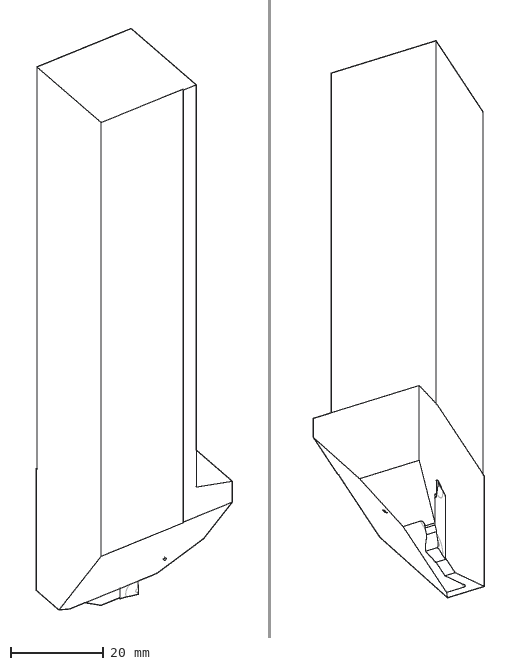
import cadquery as cq


tip_to_top = 151.4
shank_offset = 0.3
shank_depth = 24.8
front_right = 25.0
back_right = 25.3
relief_depth = 21.5

head_depth = 34.4
head_top = 42.8
head_back_top = 40.4
head_back_bottom = 18.2
head_lip_bottom = 6.7
head_front_bottom = 10.0
head_bottom = 0.9
head_toe_depth = 15.5
taper_top = 34.8
taper_bottom_x = 7.3
blade_top = 7.7
blade_thickness = 2.4
blade_root_radius = 0.8

insert_bottom = 20.5
edge_depth = 25.1
rib_depth = 26.0
insert_length = 20.1
end_relief = 0.6
rib_start = 6.0
ramp_start = 4.8
gap_shift = 0.9
flare_radius = 2.9
flare_inset_y = 0.3
flare_inset_z = 1.2
flare_crest_radius = 0.5
flare_height = 0.3


def prism_along_x(outline_yz, x_start, x_end):
    """Extrude a YZ outline between two X positions."""
    return cq.Workplane("YZ", origin=(x_start, 0, 0)).polyline(outline_yz).close().extrude(x_end - x_start)


def insert_outline(ramp_shift=0.0):
    """Side outline of the insert; ramp_shift moves the inner rib ramp toward the upper end."""
    return [
        (insert_bottom, end_relief),
        (edge_depth, 0),
        (edge_depth, ramp_start),
        (rib_depth, rib_start),
        (rib_depth, insert_length - rib_start + ramp_shift),
        (edge_depth, insert_length - ramp_start + ramp_shift),
        (edge_depth, insert_length),
        (insert_bottom, insert_length - end_relief),
    ]


def flare(center_z, side_x, direction):
    """Conical swelling around a cutting corner, standing out from one side of the insert."""
    return cq.Workplane(cq.Solid.makeCone(
        flare_radius, flare_crest_radius, flare_height,
        pnt=cq.Vector(side_x, edge_depth - flare_inset_y, center_z), dir=cq.Vector(direction, 0, 0),
    ))


def make_insert():
    body = prism_along_x(insert_outline(), 0, blade_thickness)
    flare_limit = prism_along_x(insert_outline(), -flare_height, blade_thickness + flare_height)
    flare_limit = flare_limit.intersect(
        cq.Workplane("XY").box(4 * blade_thickness, edge_depth, insert_length, centered=(True, False, False))
    )
    for center_z in (flare_inset_z, insert_length - flare_inset_z):
        for side_x, direction in ((0, -1), (blade_thickness, 1)):
            body = body.union(flare(center_z, side_x, direction).intersect(flare_limit))
    return body


def make_shank():
    shank = cq.Workplane("XY").box(
        back_right - shank_offset, shank_depth, tip_to_top - head_top, centered=False
    )
    return shank.translate((shank_offset, 0, head_top))


def make_head():
    outline = [
        (0, head_front_bottom),
        (head_toe_depth, head_bottom),
        (insert_bottom, head_bottom),
        (rib_depth, head_lip_bottom),
        (head_depth, head_back_bottom),
        (head_depth, head_back_top),
        (shank_depth, head_top),
        (0, head_top),
    ]
    return prism_along_x(outline, 0, back_right)


def front_profile():
    """Front outline of the holder: thin blade, sloped right side and straight shank."""
    profile = (
        cq.Workplane("XZ")
        .moveTo(0, 0)
        .lineTo(blade_thickness, 0)
        .lineTo(blade_thickness, blade_top)
        .lineTo(taper_bottom_x, blade_top)
        .lineTo(back_right, taper_top)
        .lineTo(back_right, tip_to_top)
        .lineTo(0, tip_to_top)
        .close()
        .extrude(-head_depth)
    )
    root = cq.selectors.NearestToPointSelector((blade_thickness, head_depth / 2, blade_top))
    return profile.edges(root).fillet(blade_root_radius)


def make_holder(insert):
    holder = make_shank().union(make_head()).intersect(front_profile())
    relief = cq.Workplane("XY").box(
        back_right - front_right, relief_depth, tip_to_top, centered=False
    ).translate((front_right, 0, 0))
    pocket = prism_along_x(insert_outline(gap_shift), 0, back_right)
    gap = pocket.cut(prism_along_x(insert_outline(), 0, back_right))
    return holder.cut(relief).cut(gap).cut(insert)


insert = make_insert()
holder = make_holder(insert)
result = cq.Compound.makeCompound([holder.val(), insert.val()])